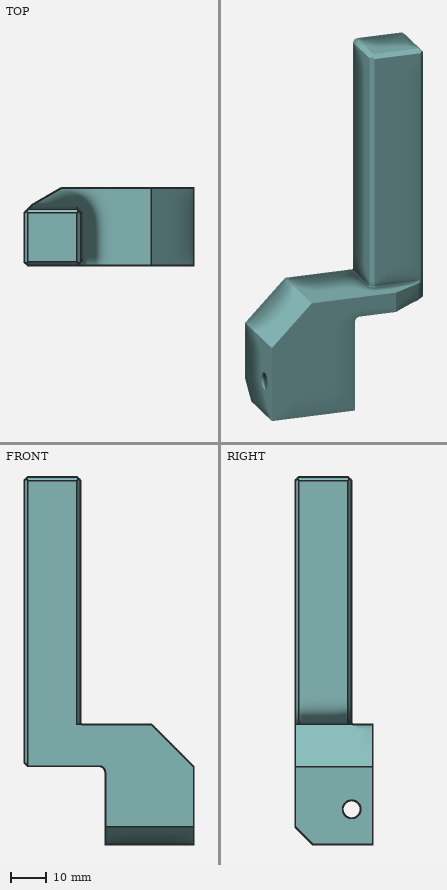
import cadquery as cq
import math

shank_side = 16.0
shank_chamfer = 1.1
shoulder_fillet = 0.5
total_height = 104.0
foot_length = 48.0
foot_width = 22.0
foot_top = 34.0

block_left = 23.0
nose_chamfer = 12.0
bottom_chamfer = 5.0

corner_start_x = 10.6
corner_angle = math.radians(30)

pin_y = shank_side
pin_z = 10.0
pin_diameter = 5.0

relief_radius = 22.0
relief_center_z = 7.0
relief_fillet = 1.5


def make_shank():
    """Square bar with a chamfered top and chamfered long edges."""
    bar = cq.Workplane("XY").box(shank_side, shank_side, total_height, centered=False)
    bar = bar.faces(">Z").chamfer(shank_chamfer)
    return bar.edges("|Z").chamfer(shank_chamfer)


def make_foot():
    """Foot with a slanted back corner, a sloped nose and a bevelled bottom edge."""
    chamfer_offset = shank_side - shank_chamfer
    slope = math.tan(corner_angle)
    meet_x = (foot_width - slope * corner_start_x - chamfer_offset) / (1 - slope)
    meet_y = meet_x + chamfer_offset
    foot = (
        cq.Workplane("XY")
        .moveTo(shank_chamfer, 0)
        .lineTo(foot_length, 0)
        .lineTo(foot_length, foot_width)
        .lineTo(corner_start_x, foot_width)
        .lineTo(meet_x, meet_y)
        .lineTo(0, chamfer_offset)
        .lineTo(0, shank_chamfer)
        .close()
        .extrude(foot_top)
    )
    foot = foot.faces(">X").edges(">Z").chamfer(nose_chamfer)
    return foot.faces("<Y").edges("<Z").chamfer(bottom_chamfer)


def round_shoulder(body):
    """Fillet the corner where the shank rises from the top of the foot."""
    reach = shank_side + shoulder_fillet
    corner = cq.selectors.BoxSelector(
        (shank_chamfer, shank_chamfer, foot_top - shoulder_fillet),
        (reach, reach, foot_top + shoulder_fillet),
    )
    return body.edges(corner).fillet(shoulder_fillet)


def make_relief():
    """Cylinder along X with a rounded end, clearing the space beside the lower block."""
    cylinder = (
        cq.Workplane("YZ")
        .center(pin_y, relief_center_z)
        .circle(relief_radius)
        .extrude(block_left)
    )
    return cylinder.faces(">X").edges().fillet(relief_fillet)


def make_pin_hole():
    """Through hole along X."""
    return cq.Workplane("YZ").center(pin_y, pin_z).circle(pin_diameter / 2).extrude(foot_length)


body = round_shoulder(make_shank().union(make_foot()))
result = body.cut(make_relief()).cut(make_pin_hole())